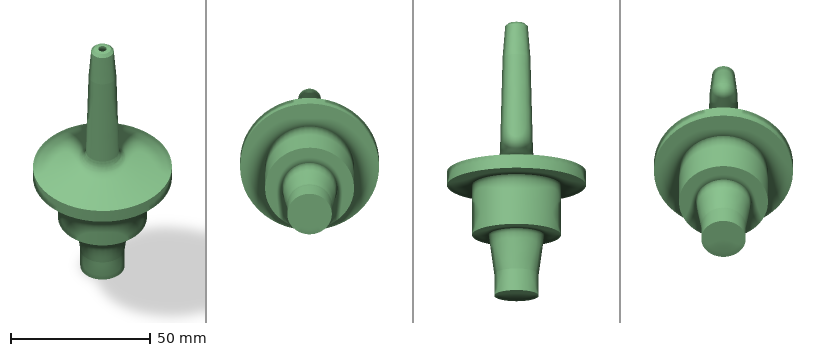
import cadquery as cq
import math

TOTAL_HEIGHT = 101.0
TAIL_TOP = 8.0
HUB_BOTTOM = 22.5
FLANGE_BOTTOM = 41.0
FLANGE_TOP = 46.0
TIP_BOTTOM = 88.5

TAIL_RADIUS = 16.0 / 2
TAIL_TAPER_RADIUS = 20.0 / 2
HUB_RADIUS = 32.0 / 2
FLANGE_RADIUS = 50.0 / 2
STEM_BASE_RADIUS = 12.0 / 2
TIP_BASE_RADIUS = 10.0 / 2
TIP_END_RADIUS = 8.0 / 2

SHOULDER_ANGLE = 15.0
SHOULDER_RISE = (FLANGE_RADIUS - STEM_BASE_RADIUS) * math.tan(math.radians(SHOULDER_ANGLE))
STEM_BOTTOM = FLANGE_TOP + SHOULDER_RISE

STEM_FILLET = 3.0
TIP_CHAMFER = 1.0

HOLE_DIAMETER = 3.0
HOLE_DEPTH = 10.0


def turned_body():
    """Solid of revolution about Z: tail, taper, hub, flange, stem and tip."""
    profile = [
        (0, 0),
        (TAIL_RADIUS, 0),
        (TAIL_RADIUS, TAIL_TOP),
        (TAIL_TAPER_RADIUS, HUB_BOTTOM),
        (HUB_RADIUS, HUB_BOTTOM),
        (HUB_RADIUS, FLANGE_BOTTOM),
        (FLANGE_RADIUS, FLANGE_BOTTOM),
        (FLANGE_RADIUS, FLANGE_TOP),
        (STEM_BASE_RADIUS, STEM_BOTTOM),
        (TIP_BASE_RADIUS, TIP_BOTTOM),
        (TIP_END_RADIUS, TOTAL_HEIGHT),
        (0, TOTAL_HEIGHT),
    ]
    return cq.Workplane("XZ").polyline(profile).close().revolve(360, (0, 0), (0, 1))


def blend_stem(body):
    """Round the inside corner where the stem meets the conical shoulder."""
    corner_circle = cq.selectors.NearestToPointSelector((0, 0, STEM_BOTTOM))
    return body.edges(corner_circle).fillet(STEM_FILLET)


def finish_tip(body):
    """Chamfer the tip and drill the blind hole down from its end face."""
    chamfered = body.faces(">Z").edges().chamfer(TIP_CHAMFER)
    return chamfered.faces(">Z").workplane(origin=(0, 0, 0)).hole(HOLE_DIAMETER, HOLE_DEPTH)


result = finish_tip(blend_stem(turned_body()))